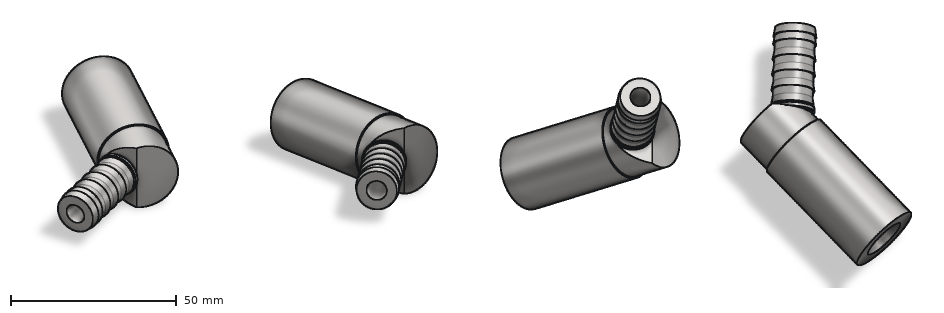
import cadquery as cq
import math

sleeve_radius = 11.3
sleeve_length = 39.95
shank_radius = 10.8
body_length = 52.05

socket_radius = 6.75
socket_depth = 35.0
passage_radius = 3.05

elbow_x = 41.2
nozzle_angle = math.radians(-45)
seat_distance = 9.25

nozzle_length = 26.9
neck_radius = 6.1
collar_radius = 6.75
collar_start = 0.65
collar_width = 1.15
barb_radius = 6.55
barb_start = 2.4
barb_pitch = 4.8
barb_width = barb_pitch / 2
barb_count = 5
tip_barb_start = barb_start + (barb_count - 1) * barb_pitch + barb_width

nozzle_direction = cq.Vector(math.cos(nozzle_angle), math.sin(nozzle_angle), 0)
elbow_point = cq.Vector(elbow_x, 0, 0)
seat_point = elbow_point + nozzle_direction * seat_distance
tip_point = seat_point + nozzle_direction * nozzle_length
seat_plane = cq.Plane(origin=seat_point, xDir=(0, 0, 1), normal=nozzle_direction)


def make_body():
    """Sleeve and shank, with the shank corner cut flat to seat the nozzle."""
    sleeve = cq.Workplane("YZ").circle(sleeve_radius).extrude(sleeve_length)
    shank = cq.Workplane("YZ").circle(shank_radius).extrude(body_length)
    corner_size = 4 * shank_radius
    corner = cq.Workplane(seat_plane).rect(corner_size, corner_size).extrude(corner_size)
    return sleeve.union(shank.cut(corner))


def make_nozzle():
    """Turned nozzle with a collar and barbs that taper towards the tip."""
    collar_end = collar_start + collar_width
    profile = [
        (0, 0),
        (neck_radius, 0),
        (neck_radius, collar_start),
        (collar_radius, collar_start),
        (collar_radius, collar_end),
        (neck_radius, collar_end),
    ]
    for index in range(barb_count):
        start = barb_start + index * barb_pitch
        profile += [
            (neck_radius, start),
            (barb_radius, start),
            (neck_radius, start + barb_width),
        ]
    profile += [
        (barb_radius, tip_barb_start),
        (neck_radius, nozzle_length),
        (0, nozzle_length),
    ]
    half_section = cq.Workplane(seat_plane.rotated((90, 0, 0))).polyline(profile).close()
    return half_section.revolve(360, (0, 0), (0, 1))


def make_passage():
    """Round passage from the socket floor to the nozzle tip, mitred at the elbow."""
    path = cq.Workplane("XY").polyline([(0, 0), elbow_point.toTuple()[:2], tip_point.toTuple()[:2]])
    return cq.Workplane("YZ").circle(passage_radius).sweep(path, transition="right")


socket = cq.Workplane("YZ").circle(socket_radius).extrude(socket_depth)
result = make_body().union(make_nozzle()).cut(socket).cut(make_passage())